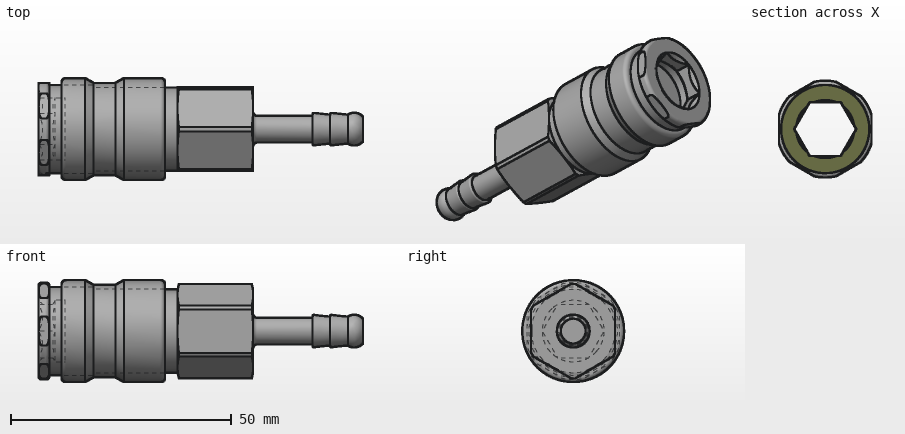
import cadquery as cq
import math


ring_length = 2.5
sleeve_start = 5.2
sleeve_end = 28.7
hex_start = 31.5
hex_end = 48.6
barb_start = 62.05
barb_pitch = 4.0
overall_length = 73.5

ring_diameter = 22.0
ring_across_flats = 21.0
ring_edge_radius = 0.8

neck_diameter = 20.05
collar_diameter = 18.95

hex_across_flats = 19.0
hex_corner_diameter = 21.4
hex_face_diameter = 19.0
hex_chamfer_length = 0.3

stem_diameter = 6.1
stem_fillet = 0.9
barb_diameter = 7.4
barb_root_diameter = 6.6
barb_edge_radius = 0.35
barb_count = 2
bulb_widest = 71.7
bulb_diameter = 7.5
bulb_tip_diameter = 5.6

socket_diameter = 14.0
socket_across_flats = socket_diameter * math.cos(math.pi / 6)
socket_hex_depth = 3.8
socket_depth = 6.0
socket_lead_angle = 45
socket_relief_angle = 30

sleeve_diameter = 23.15
sleeve_edge_radius = 1.0
groove_diameter = 21.0
groove_start = 12.5
groove_end = 17.4
groove_flank_length = 1.95


def cylinder(diameter, start, end):
    return cq.Workplane("YZ").workplane(offset=start).circle(diameter / 2).extrude(end - start)


def hexagon(across_flats, start, end):
    """Hexagonal prism along X with two flats facing +-Z."""
    across_corners = across_flats / math.cos(math.pi / 6)
    return cq.Workplane("YZ").workplane(offset=start).polygon(6, across_corners).extrude(end - start)


def quarter_turn(solid):
    """Turn a solid 90 degrees about X, which brings +-Z flats to +-Y."""
    return solid.rotate((0, 0, 0), (1, 0, 0), 90)


def revolve_about_x(profile):
    return profile.close().revolve(360, (0, 0, 0), (1, 0, 0))


def make_ring():
    """Front ring: rounded disc with six small wrench flats."""
    disc = cylinder(ring_diameter, 0, ring_length).edges().fillet(ring_edge_radius)
    flats = quarter_turn(hexagon(ring_across_flats, 0, ring_length))
    return disc.intersect(flats)


def make_rear_hexagon():
    """Hexagon with turned-down corners and a shallow chamfer at both ends."""
    face_radius = hex_face_diameter / 2
    corner_radius = hex_corner_diameter / 2
    envelope = revolve_about_x(
        cq.Workplane("XY")
        .moveTo(hex_start, 0)
        .lineTo(hex_start, face_radius)
        .lineTo(hex_start + hex_chamfer_length, corner_radius)
        .lineTo(hex_end - hex_chamfer_length, corner_radius)
        .lineTo(hex_end, face_radius)
        .lineTo(hex_end, 0)
    )
    prism = quarter_turn(hexagon(hex_across_flats, hex_start, hex_end))
    return prism.intersect(envelope)


def make_nozzle():
    """Hose stem with a filleted root, tapered barbs and a rounded bulb at the tip."""
    stem_radius = stem_diameter / 2
    barb_radius = barb_diameter / 2
    root_radius = barb_root_diameter / 2
    bulb_radius = bulb_diameter / 2
    tip_radius = bulb_tip_diameter / 2
    fillet_reach = stem_fillet * math.cos(math.pi / 4)

    profile = (
        cq.Workplane("XY")
        .moveTo(hex_end, 0)
        .lineTo(hex_end, stem_radius + stem_fillet)
        .threePointArc(
            (hex_end + stem_fillet - fillet_reach, stem_radius + stem_fillet - fillet_reach),
            (hex_end + stem_fillet, stem_radius),
        )
        .lineTo(barb_start, stem_radius)
    )
    for index in range(barb_count):
        edge = barb_start + index * barb_pitch
        profile = (
            profile.lineTo(edge, barb_radius - barb_edge_radius)
            .tangentArcPoint((edge + barb_edge_radius, barb_radius), relative=False)
            .lineTo(edge + barb_pitch, root_radius)
        )
    profile = profile.threePointArc((bulb_widest, bulb_radius), (overall_length, tip_radius))
    profile = profile.lineTo(overall_length, 0)
    return revolve_about_x(profile)


def make_socket():
    """Hexagonal hole, coned at both ends, opening into a round blind bore."""
    outer = socket_diameter / 2
    inner = socket_across_flats / 2
    lead_length = (outer - inner) / math.tan(math.radians(socket_lead_angle))
    relief_length = (outer - inner) * math.tan(math.radians(socket_relief_angle))
    round_part = revolve_about_x(
        cq.Workplane("XY")
        .moveTo(0, 0)
        .lineTo(0, outer)
        .lineTo(lead_length, inner)
        .lineTo(socket_hex_depth - relief_length, inner)
        .lineTo(socket_hex_depth, outer)
        .lineTo(socket_depth, outer)
        .lineTo(socket_depth, 0)
    )
    flats = hexagon(socket_across_flats, 0, socket_hex_depth)
    return round_part.union(flats)


def make_shank():
    """Round core of the body, stepping down inside the sleeve."""
    neck = cylinder(neck_diameter, ring_length, groove_start)
    collar = cylinder(collar_diameter, groove_start, hex_start)
    return neck.union(collar)


def make_body():
    body = make_ring().union(make_shank()).union(make_rear_hexagon()).union(make_nozzle())
    return body.cut(make_socket())


def make_sleeve():
    """Sleeve with rounded ends and a wide groove, fitted to the stepped shank."""
    outside = cylinder(sleeve_diameter, sleeve_start, sleeve_end).edges().fillet(sleeve_edge_radius)
    sleeve_radius = sleeve_diameter / 2
    groove_radius = groove_diameter / 2
    groove = revolve_about_x(
        cq.Workplane("XY")
        .moveTo(groove_start - groove_flank_length, sleeve_radius)
        .lineTo(groove_start, groove_radius)
        .lineTo(groove_end, groove_radius)
        .lineTo(groove_end + groove_flank_length, sleeve_radius)
    )
    return outside.cut(groove).cut(make_shank())


body = make_body()
sleeve = make_sleeve()
result = cq.Compound.makeCompound([body.val(), sleeve.val()])